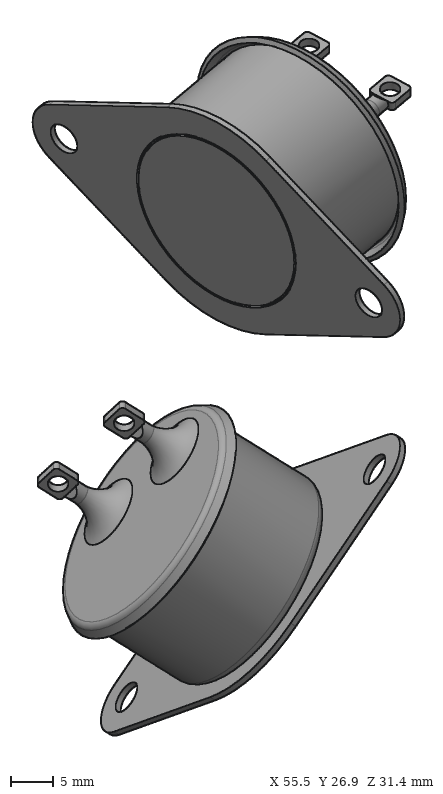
import cadquery as cq
import math

PLATE_THICKNESS = 0.8
PLATE_LENGTH = 55.49
PLATE_HEIGHT = 31.39
EAR_OFFSET = 23.0
EAR_HOLE_DIAMETER = 4.0

GROOVE_OUTER_RADIUS = 12.0
GROOVE_WIDTH = 0.25
GROOVE_DEPTH = 0.4

BODY_RADIUS = 14.1
BODY_EDGE_RADIUS = 1.2

LID_RADIUS = PLATE_HEIGHT / 2
LID_TOP = 17.4
LID_THICKNESS = 0.7
SKIRT_EDGE = 15.85
SKIRT_ANGLE = 30.0
SKIRT_OUTER_BEND = 1.0
SKIRT_INNER_BEND = SKIRT_OUTER_BEND - LID_THICKNESS

TERMINAL_X_OFFSET = 6.12
TERMINAL_Z = 6.12
TERMINAL_END = 26.92
FLARE_TOP = 21.55
FLARE_BASE_RADIUS = 4.45
FLARE_ARC_RADIUS = 5.0
PIN_RADIUS = 1.18
PIN_TAPER_LENGTH = 0.7
TAB_SIZE = 3.7
TAB_THICKNESS = 1.2
TAB_CORNER = 0.5
TAB_HOLE_DIAMETER = 2.4


def disc(radius, start, length):
    """Cylinder along +Y from Y = start."""
    return cq.Workplane("XZ", origin=(0, start, 0)).circle(radius).extrude(-length)


def make_plate():
    """Plate outlined by a central circle and two ear circles joined by tangent lines."""
    center_radius = PLATE_HEIGHT / 2
    ear_radius = PLATE_LENGTH / 2 - EAR_OFFSET
    tangent_sin = (center_radius - ear_radius) / EAR_OFFSET
    tangent_cos = math.sqrt(1 - tangent_sin**2)
    center_x = center_radius * tangent_sin
    center_z = center_radius * tangent_cos
    ear_x = EAR_OFFSET + ear_radius * tangent_sin
    ear_z = ear_radius * tangent_cos
    plate = (
        cq.Workplane("XZ")
        .moveTo(-center_x, center_z)
        .threePointArc((0, center_radius), (center_x, center_z))
        .lineTo(ear_x, ear_z)
        .threePointArc((PLATE_LENGTH / 2, 0), (ear_x, -ear_z))
        .lineTo(center_x, -center_z)
        .threePointArc((0, -center_radius), (-center_x, -center_z))
        .lineTo(-ear_x, -ear_z)
        .threePointArc((-PLATE_LENGTH / 2, 0), (-ear_x, ear_z))
        .close()
        .extrude(-PLATE_THICKNESS)
    )
    for side in (-1, 1):
        hole = disc(EAR_HOLE_DIAMETER / 2, 0, PLATE_THICKNESS)
        plate = plate.cut(hole.translate((side * EAR_OFFSET, 0, 0)))
    return plate


def make_groove():
    """Thin ring cut into the front face of the plate."""
    inner = disc(GROOVE_OUTER_RADIUS - GROOVE_WIDTH, 0, GROOVE_DEPTH)
    return disc(GROOVE_OUTER_RADIUS, 0, GROOVE_DEPTH).cut(inner)


def revolve_profile(profile):
    """Solid of revolution about the Y axis from an open XY profile closed on itself."""
    return profile.close().revolve(360, (0, 0, 0), (0, 1, 0))


def make_body():
    """Cylindrical can with a rounded front edge."""
    body = disc(BODY_RADIUS, PLATE_THICKNESS, LID_TOP - PLATE_THICKNESS)
    return body.faces("<Y").edges().fillet(BODY_EDGE_RADIUS)


def make_skirted_disc(edge_radius, edge, top, bend_radius):
    """Disc whose conical side narrows from the skirt edge to a rounded top."""
    top_radius = edge_radius - (top - edge) * math.tan(math.radians(SKIRT_ANGLE))
    profile = (
        cq.Workplane("XY")
        .moveTo(0, edge)
        .lineTo(edge_radius, edge)
        .lineTo(top_radius, top)
        .lineTo(0, top)
    )
    return revolve_profile(profile).faces(">Y").edges().fillet(bend_radius)


def make_lid():
    """Sheet lid: outer form less the parallel inner form, with a square-cut skirt edge."""
    inner_radius = LID_RADIUS - LID_THICKNESS * math.cos(math.radians(SKIRT_ANGLE))
    inner_edge = SKIRT_EDGE - LID_THICKNESS * math.sin(math.radians(SKIRT_ANGLE))
    outer = make_skirted_disc(LID_RADIUS, SKIRT_EDGE, LID_TOP, SKIRT_OUTER_BEND)
    edge_profile = (
        cq.Workplane("XY")
        .moveTo(0, inner_edge)
        .lineTo(inner_radius, inner_edge)
        .lineTo(LID_RADIUS, SKIRT_EDGE)
        .lineTo(0, SKIRT_EDGE)
    )
    inner = make_skirted_disc(inner_radius, inner_edge, LID_TOP - LID_THICKNESS, SKIRT_INNER_BEND)
    return outer.union(revolve_profile(edge_profile)).cut(inner)


def make_flare():
    """Trumpet-shaped insulator with a concave arc profile."""
    profile = (
        cq.Workplane("XY")
        .moveTo(0, LID_TOP)
        .lineTo(FLARE_BASE_RADIUS, LID_TOP)
        .radiusArc((PIN_RADIUS, FLARE_TOP), FLARE_ARC_RADIUS)
        .lineTo(0, FLARE_TOP)
    )
    return revolve_profile(profile)


def make_pin():
    """Round pin whose end is bevelled on two sides down to the tab thickness."""
    tab_start = TERMINAL_END - TAB_SIZE
    half_tab = TAB_THICKNESS / 2
    taper_start = tab_start - PIN_TAPER_LENGTH
    pin = disc(PIN_RADIUS, FLARE_TOP, tab_start - FLARE_TOP)
    wedge = (
        cq.Workplane("YZ")
        .moveTo(FLARE_TOP, -PIN_RADIUS)
        .lineTo(taper_start, -PIN_RADIUS)
        .lineTo(tab_start, -half_tab)
        .lineTo(tab_start, half_tab)
        .lineTo(taper_start, PIN_RADIUS)
        .lineTo(FLARE_TOP, PIN_RADIUS)
        .close()
        .extrude(PIN_RADIUS, both=True)
    )
    return pin.intersect(wedge)


def make_tab():
    """Square solder tab with rounded corners and a central hole."""
    return (
        cq.Workplane("XY", origin=(0, TERMINAL_END - TAB_SIZE / 2, 0))
        .rect(TAB_SIZE, TAB_SIZE)
        .extrude(TAB_THICKNESS / 2, both=True)
        .edges("|Z")
        .fillet(TAB_CORNER)
        .faces(">Z")
        .workplane(centerOption="CenterOfMass")
        .hole(TAB_HOLE_DIAMETER)
    )


terminal = make_flare().union(make_pin()).union(make_tab())

result = make_plate().union(make_body()).union(make_lid()).cut(make_groove())
for side in (-1, 1):
    result = result.union(terminal.translate((side * TERMINAL_X_OFFSET, 0, TERMINAL_Z)))